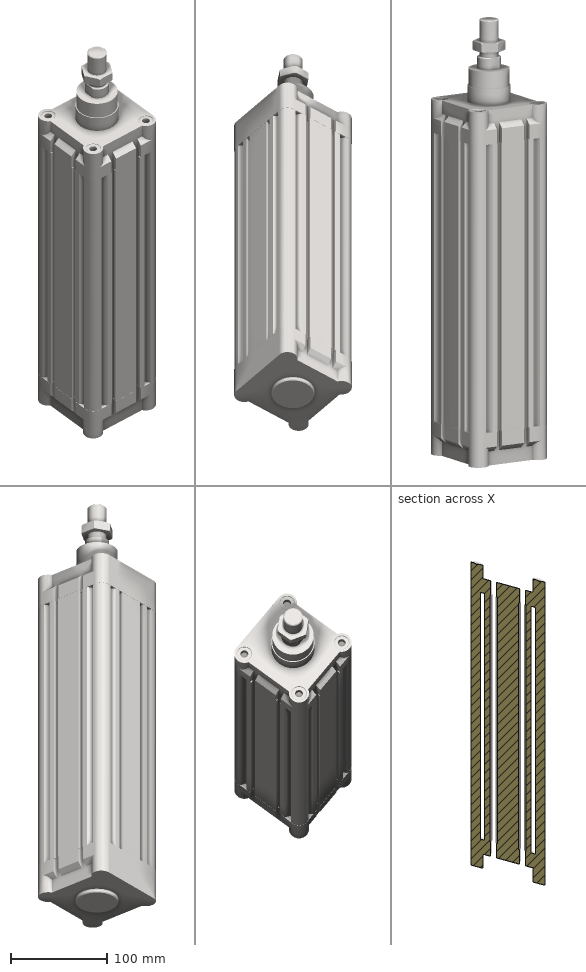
import cadquery as cq
import math

tube_side = 92.5
cover_overhang = 0.165
post_spacing = 72.0
half_tube = tube_side / 2
half_side = half_tube + cover_overhang
corner_center = post_spacing / 2
post_radius = half_side - corner_center

tail_boss_height = 4.0
rear_cover_height = 36.0
tube_height = 306.0
front_cover_height = 35.0
collar_base_height = 17.0
collar_height = 35.0
wrench_length = 12.5
total_height = 468.0
rear_cover_bottom = tail_boss_height
tube_bottom = rear_cover_bottom + rear_cover_height
tube_top = tube_bottom + tube_height
front_cover_top = tube_top + front_cover_height
collar_top = front_cover_top + collar_height
shoulder_level = collar_top + wrench_length

recess_depth = 5.5
pad_height = 15.5
center_pad_half_width = 13.5
side_pad_inner = 20.0

slot_inner = 14.0
slot_outer = 19.0
slot_undercut = 1.5
slot_lip = 3.0
slot_depth = 5.5
v_groove_inner = 25.5
v_groove_outer = 33.0
v_groove_floor_inner = 28.5
v_groove_floor_outer = 30.5
v_groove_depth = 4.5

recess_mouth_diameter = 16.0
recess_chamfer_depth = 0.5
head_diameter = 15.0
head_depth = 1.0
socket_mouth_diameter = 8.5
socket_chamfer_depth = 0.25
socket_diameter = 8.0
socket_depth = 7.0

collar_diameter = 45.0
collar_step_diameter = 43.0
tail_chamfer = 1.0

rod_diameter = 25.0
rod_flat_width = 22.0
rod_chamfer = 1.0
thread_diameter = 20.0
thread_chamfer = 1.0

nut_across_flats = 30.0
nut_height = 10.0
nut_bottom = 435.2
nut_chamfer = 1.0
nut_across_corners = nut_across_flats / math.cos(math.pi / 6)


def box_between(x_range, y_range, z_range):
    """Axis-aligned box spanning the given (low, high) ranges."""
    sizes = [high - low for low, high in (x_range, y_range, z_range)]
    corner = (x_range[0], y_range[0], z_range[0])
    return cq.Workplane("XY").box(*sizes, centered=False).translate(corner)


def turned(shape, quarters):
    """Shape rotated about Z by a number of quarter turns."""
    return shape.rotate((0, 0, 0), (0, 0, 1), 90 * quarters)


def disc(diameter, bottom, height):
    return cq.Workplane("XY").workplane(offset=bottom).circle(diameter / 2).extrude(height)


def rounded_square(half_width, bottom, height):
    """Square prism whose rounded corners are centered on the corner posts."""
    prism = cq.Workplane("XY").workplane(offset=bottom).rect(2 * half_width, 2 * half_width).extrude(height)
    return prism.edges("|Z").fillet(half_width - corner_center)


def tube_grooves(side):
    """T-slot and V groove of the tube on one half (side = 1 or -1) of the -Y face."""
    lip_y = -half_tube + slot_lip
    slot_floor = -half_tube + slot_depth
    v_floor = -half_tube + v_groove_depth
    t_slot = [
        (side * slot_inner, -half_tube),
        (side * slot_inner, lip_y),
        (side * (slot_inner - slot_undercut), lip_y),
        (side * (slot_inner - slot_undercut), slot_floor),
        (side * (slot_outer + slot_undercut), slot_floor),
        (side * (slot_outer + slot_undercut), lip_y),
        (side * slot_outer, lip_y),
        (side * slot_outer, -half_tube),
    ]
    v_shape = [
        (side * v_groove_inner, -half_tube),
        (side * v_groove_floor_inner, v_floor),
        (side * v_groove_floor_outer, v_floor),
        (side * v_groove_outer, -half_tube),
    ]
    section = cq.Workplane("XY").workplane(offset=tube_bottom)
    return [section.polyline(outline).close().extrude(tube_height) for outline in (t_slot, v_shape)]


def screw_recesses(top):
    """Stepped round recess in each of the four corner posts, opening upward at the given level."""
    profile = [
        (0, 0),
        (recess_mouth_diameter / 2, 0),
        (head_diameter / 2, -recess_chamfer_depth),
        (head_diameter / 2, -head_depth),
        (socket_mouth_diameter / 2, -head_depth),
        (socket_diameter / 2, -head_depth - socket_chamfer_depth),
        (socket_diameter / 2, -socket_depth),
        (0, -socket_depth),
    ]
    recess = cq.Workplane("XZ").polyline(profile).close().revolve(360, (0, 0, 0), (0, 1, 0))
    recess = recess.translate((corner_center, corner_center, top))
    recesses = recess
    for quarter in (1, 2, 3):
        recesses = recesses.union(turned(recess, quarter))
    return recesses


def corner_posts(height):
    corners = cq.Workplane("XY").rect(2 * corner_center, 2 * corner_center, forConstruction=True)
    return corners.vertices().circle(post_radius).extrude(height)


def side_pads(posts):
    """Three raised pads on the -Y side, standing on Z = 0, sloping back at 45 degrees on top."""
    floor_y = -half_side + recess_depth
    profile = [
        (-half_side, 0),
        (-half_side, pad_height),
        (floor_y, pad_height + recess_depth),
        (floor_y, 0),
    ]
    pads = []
    for low, high in (
        (-corner_center, -side_pad_inner),
        (-center_pad_half_width, center_pad_half_width),
        (side_pad_inner, corner_center),
    ):
        bar = cq.Workplane("YZ", origin=(low, 0, 0)).polyline(profile).close().extrude(high - low)
        pads.append(bar.cut(posts))
    return pads


def make_cover(height):
    """End cover standing on Z = 0 with its outer end up; its +Y side is plain and flush."""
    core_half = half_side - recess_depth
    posts = corner_posts(height)
    cover = box_between((-core_half, core_half), (-core_half, core_half), (0, height)).union(posts)
    plain_side = box_between((-corner_center, corner_center), (0, half_side), (0, height))
    cover = cover.union(plain_side)
    for quarter in (-1, 0, 1):
        for pad in side_pads(posts):
            cover = cover.union(turned(pad, quarter))
    return cover


def make_collar():
    base = disc(collar_diameter, front_cover_top, collar_base_height)
    return base.union(disc(collar_step_diameter, front_cover_top, collar_height))


def make_tail_boss():
    return disc(collar_diameter, 0, tail_boss_height).faces("<Z").chamfer(tail_chamfer)


def make_housing():
    """Tube with both end covers, the rod collar and the tail boss; +Y of the covers is plain."""
    housing = rounded_square(half_tube, tube_bottom, tube_height)
    for quarter in range(4):
        for side in (-1, 1):
            for groove in tube_grooves(side):
                housing = housing.cut(turned(groove, quarter))
    front_cover = make_cover(front_cover_height).translate((0, 0, tube_top))
    front_cover = front_cover.cut(screw_recesses(front_cover_top))
    rear_cover = make_cover(rear_cover_height).mirror("XY").translate((0, 0, tube_bottom))
    housing = housing.union(front_cover).union(rear_cover)
    return housing.union(make_collar()).union(make_tail_boss())


def make_piston_rod():
    """Rod end on the collar face: a shank with two wrench flats, then a thread."""
    shank = disc(rod_diameter, collar_top, wrench_length)
    half_rod = rod_diameter / 2
    half_flat = rod_flat_width / 2
    shank = shank.faces(">Z").chamfer(rod_chamfer)
    flats = box_between((-half_rod, half_rod), (-half_flat, half_flat), (collar_top, shoulder_level))
    shank = shank.intersect(flats)
    thread = disc(thread_diameter, shoulder_level, total_height - shoulder_level)
    return shank.union(thread.faces(">Z").chamfer(thread_chamfer))


def make_lock_nut():
    """Hexagon nut with corners on the Y axis, its corners turned down at both ends."""
    hexagon = (
        cq.Workplane("XY")
        .workplane(offset=nut_bottom)
        .polygon(6, nut_across_corners)
        .extrude(nut_height)
        .rotate((0, 0, 0), (0, 0, 1), 30)
    )
    turned_blank = disc(nut_across_corners, nut_bottom, nut_height).faces("<Z or >Z").chamfer(nut_chamfer)
    return hexagon.intersect(turned_blank).cut(disc(thread_diameter, nut_bottom, nut_height))


housing = make_housing()
piston_rod = make_piston_rod()
lock_nut = make_lock_nut()

result = cq.Compound.makeCompound(
    [housing.solids().val(), piston_rod.solids().val(), lock_nut.solids().val()]
)